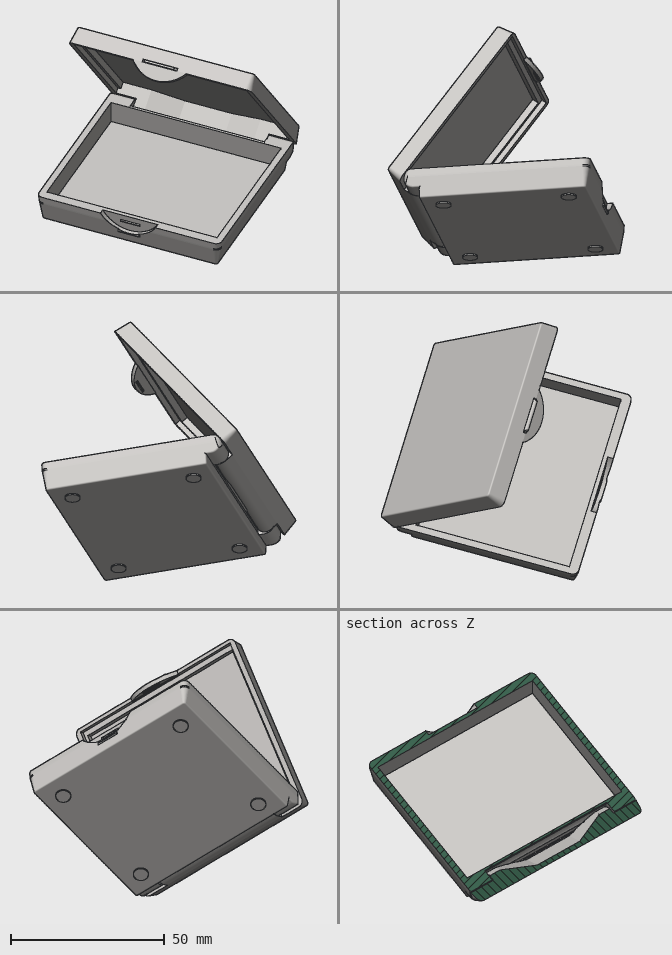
import cadquery as cq
import math


case_width = 65.0
corner_radius = 2.0
rear_corner_radius = 2.4
edge_fillet = 0.55
wall_draft = 10.0
rim_height = 9.7
front_draft = 4.0

hinge_drop = 2.75
hinge_y = 59.0
hinge_z = rim_height - hinge_drop
opening_angle = 52.3

band_draft = 6.0
rim_band_height = 2.3
middle_band_height = 0.55
lower_wall_height = rim_height - rim_band_height - middle_band_height
base_layers = (
    (rim_band_height, front_draft),
    (middle_band_height, band_draft),
    (lower_wall_height, wall_draft),
)
base_length = hinge_y + hinge_drop
step_y = 56.6
step_z = 3.55
lug_lower_radius = hinge_z - step_z
base_side_wall = 2.3
base_front_wall = 3.3
base_pocket_rear = 55.25
base_floor = 1.95
foot_diameter = 4.95
foot_height = 0.5
foot_x = 24.1
foot_ys = (8.4, 49.8)

recess_radius = 11.45
recess_drop = 5.5
recess_depth = 1.9
lip_width = 8.3
lip_height = 1.75
lip_drop = 5.5
lip_front = 0.35
lip_root = 1.2
lip_taper = 25.0

ridge_width = 6.95
ridge_height = 0.8
ridge_reach = 0.35
ridge_taper = 45.0
base_ridge_drop = 2.35
tab_ridge_drop = 3.3

knuckle_radius = 3.0
knuckle_half_width = 23.6
hinge_clearance = 0.3
notch_front = 56.2

lid_shift = 0.2
lid_height = 6.0
lid_length = hinge_y + knuckle_radius
lid_side_wall = 1.8
lid_front_wall = 1.2
lid_pocket_rear = 57.0
lid_pocket_depth = 4.1
lid_ledge_depth = 1.8
side_ledge = 1.1
front_ledge = 1.75
relief_depth = 3.15
relief_half_inner = 8.3
relief_half_outer = 19.4

tab_radius = 11.8
tab_drop = 4.8
tab_thickness = 1.5
grip_width = 12.3
grip_front_width = 10.45
grip_reach = 1.0
grip_height = 0.95
grip_rounding = 0.8


def box(x_half, y_range, z_range):
    """Box centred on X = 0 that spans the given Y and Z ranges."""
    size_y = y_range[1] - y_range[0]
    size_z = z_range[1] - z_range[0]
    corner = cq.Workplane("XY", origin=(0, y_range[0], z_range[0]))
    return corner.box(2 * x_half, size_y, size_z, centered=(True, False, False))


def hinge_cylinder(radius, half_width):
    """Cylinder about the hinge axis."""
    return cq.Workplane("YZ", origin=(-half_width, hinge_y, hinge_z)).circle(radius).extrude(2 * half_width)


def round_segment(radius, drop, thickness):
    """Circular segment hanging below the rim plane, from Y = 0 back to the thickness."""
    half_chord = math.sqrt(radius**2 - (radius - drop) ** 2)
    return (
        cq.Workplane("XZ")
        .moveTo(-half_chord, rim_height)
        .threePointArc((0, rim_height - drop), (half_chord, rim_height))
        .close()
        .extrude(-thickness)
    )


def snap_ridge(y, z):
    """Bevelled ridge that stands forward of the plane at y."""
    plane = cq.Workplane("XZ", origin=(0, y, z))
    return plane.rect(ridge_width, ridge_height).extrude(ridge_reach, taper=ridge_taper)


def drafted_slab(width, y_range, start_z, height, draft, upward, radius=corner_radius):
    """Round-cornered slab from start_z, narrowing on all four sides by the draft angle."""
    direction = 1 if upward else -1
    middle = (y_range[0] + y_range[1]) / 2
    plane = cq.Plane(origin=(0, middle, start_z), xDir=(1, 0, 0), normal=(0, 0, direction))
    outline = cq.Sketch().rect(width, y_range[1] - y_range[0]).vertices().fillet(radius)
    return cq.Workplane(plane).placeSketch(outline).extrude(height, taper=draft)


def base_outside():
    """Drafted outside of the base, stepped at the rear and rounded into the hinge lugs."""
    overrun = 13.4
    outside = cq.Workplane("XY")
    inset = 0.0
    layer_z = rim_height
    for height, draft in base_layers:
        width = case_width - 2 * inset
        slab = drafted_slab(width, (inset, base_length + overrun), layer_z, height, draft, upward=False)
        outside = outside.add(slab)
        inset += height * math.tan(math.radians(draft))
        layer_z -= height
    outside = outside.combine()

    lug_lower_y = base_length - lug_lower_radius
    lug_lower_turn = lug_lower_radius * math.sqrt(0.5)
    lug_upper_turn = hinge_drop * math.sqrt(0.5)
    side_profile = (
        cq.Workplane("YZ", origin=(-case_width / 2, 0, 0))
        .lineTo(step_y, 0)
        .lineTo(step_y, step_z)
        .lineTo(lug_lower_y, step_z)
        .threePointArc((lug_lower_y + lug_lower_turn, hinge_z - lug_lower_turn), (base_length, hinge_z))
        .threePointArc((hinge_y + lug_upper_turn, hinge_z + lug_upper_turn), (hinge_y, rim_height))
        .lineTo(0, rim_height)
        .close()
        .extrude(case_width)
    )
    plan_range = (-overrun, base_length)
    plan = drafted_slab(case_width, plan_range, 0, rim_height, 0, upward=True, radius=rear_corner_radius)
    outside = outside.intersect(side_profile).intersect(plan)
    lug_box = cq.selectors.BoxSelector(
        (-case_width, step_y + edge_fillet, step_z - edge_fillet / 2),
        (case_width, base_length, step_z + edge_fillet / 2),
    )
    step_box = cq.selectors.BoxSelector(
        (-case_width, step_y - edge_fillet / 2, edge_fillet / 2),
        (case_width, step_y + edge_fillet / 2, step_z - edge_fillet / 2),
    )
    outside = outside.edges(step_box).fillet(edge_fillet)
    outside = outside.edges(lug_box).edges("|Y").fillet(edge_fillet)
    return outside.faces("<Z").edges().fillet(edge_fillet)


def base_body():
    """Tray with lugs, feet, latch recess and a notch for the lid knuckle."""
    base = base_outside()

    pocket_half = case_width / 2 - base_side_wall
    base = base.cut(box(pocket_half, (base_front_wall, base_pocket_rear), (base_floor, rim_height)))

    notch_half = knuckle_half_width + hinge_clearance
    notch = box(notch_half, (notch_front, base_length), (step_z, rim_height))
    base = base.cut(notch).cut(hinge_cylinder(knuckle_radius + hinge_clearance, notch_half))

    base = base.union(finger_lip())
    base = base.cut(round_segment(recess_radius, recess_drop, recess_depth))
    base = base.union(snap_ridge(recess_depth, rim_height - base_ridge_drop))

    foot_centres = [(side * foot_x, y) for side in (-1, 1) for y in foot_ys]
    feet = cq.Workplane("XY").pushPoints(foot_centres).circle(foot_diameter / 2).extrude(-foot_height)
    return base.union(feet)


def finger_lip():
    """Small bevelled lip on the front wall, around the lowest point of the latch recess."""
    plane = cq.Workplane("XZ", origin=(0, lip_root, rim_height - lip_drop))
    return plane.rect(lip_width, lip_height).extrude(lip_root - lip_front, taper=lip_taper)


def lid_pocket():
    """Hollow of the lid: ledges at the front and sides, and a relief cut into the rear wall."""
    opening_half = case_width / 2 - lid_side_wall
    floor_z = rim_height + lid_pocket_depth
    upper = box(opening_half, (lid_front_wall, lid_pocket_rear), (rim_height, rim_height + lid_ledge_depth))
    deep = box(
        opening_half - side_ledge,
        (lid_front_wall + front_ledge, lid_pocket_rear),
        (rim_height, floor_z),
    )
    relief_bottom = hinge_z - knuckle_radius
    relief = (
        cq.Workplane("XY", origin=(0, 0, relief_bottom))
        .moveTo(-relief_half_outer, lid_pocket_rear)
        .lineTo(-relief_half_inner, lid_pocket_rear + relief_depth)
        .lineTo(relief_half_inner, lid_pocket_rear + relief_depth)
        .lineTo(relief_half_outer, lid_pocket_rear)
        .close()
        .extrude(floor_z - relief_bottom)
    )
    return upper.union(deep).union(relief)


def knuckle():
    """Hinge knuckle: the rear wall carried down and rounded about the hinge axis."""
    block = box(knuckle_half_width, (lid_pocket_rear, lid_length), (hinge_z, rim_height))
    barrel = hinge_cylinder(knuckle_radius, knuckle_half_width)
    rear_half = box(knuckle_half_width, (lid_pocket_rear, lid_length), (hinge_z - knuckle_radius, rim_height))
    return block.union(barrel.intersect(rear_half))


def latch_tab():
    """Rounded tab below the front wall, leaning in to follow the rim, with a ridge on its back."""
    tab = round_segment(tab_radius, tab_drop, tab_thickness)
    ridge = snap_ridge(0, 0).rotate((0, 0, 0), (0, 0, 1), 180)
    ridge = ridge.translate((0, tab_thickness, rim_height - tab_ridge_drop))
    return tab.union(ridge).rotate((0, 0, rim_height), (1, 0, rim_height), front_draft)


def thumb_grip():
    """Narrow ledge on the front of the lid for opening it, level with the rim."""
    root_y = lid_front_wall
    return (
        cq.Workplane("XY", origin=(0, 0, rim_height))
        .moveTo(-grip_width / 2, root_y)
        .lineTo(-grip_width / 2, 0)
        .lineTo(-grip_front_width / 2, -grip_reach)
        .lineTo(grip_front_width / 2, -grip_reach)
        .lineTo(grip_width / 2, 0)
        .lineTo(grip_width / 2, root_y)
        .close()
        .extrude(grip_height)
        .edges(">Z and <Y")
        .fillet(grip_rounding)
    )


def lid_body():
    """Lid with knuckle, latch tab and thumb grip, swung open about the hinge axis."""
    lid = drafted_slab(case_width, (0, lid_length), rim_height, lid_height, wall_draft, upward=True)
    lid = lid.faces(">Z").edges().fillet(edge_fillet)
    lid = lid.union(thumb_grip()).union(knuckle()).cut(lid_pocket()).union(latch_tab())
    lid = lid.rotate((0, hinge_y, hinge_z), (1, hinge_y, hinge_z), -opening_angle)
    return lid.translate((lid_shift, 0, 0))


base = base_body()
lid = lid_body()
result = cq.Compound.makeCompound([base.solids().val(), lid.solids().val()])